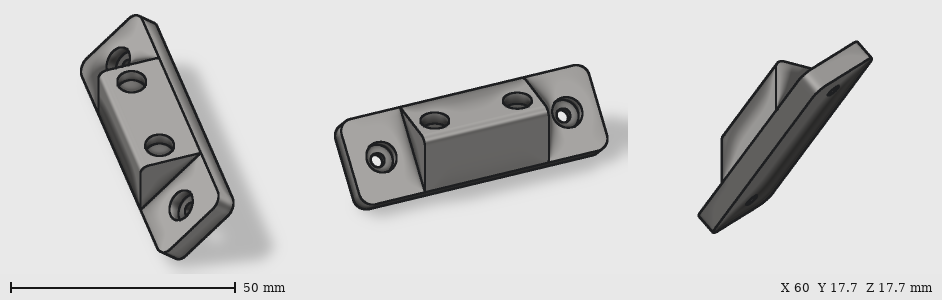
import cadquery as cq
import math

plate_length = 60.0
plate_width = plate_length / 3
plate_thickness = plate_width / 4
corner_radius = 3.0

block_length = plate_length / 2
block_leg = plate_width / math.sqrt(2)
ridge_radius = 2.0

screw_diameter = 3.2
counterbore_diameter = 7.0
counterbore_depth = 3.0
screw_offset = (plate_length + block_length) / 4

pocket_diameter = 6.4
pocket_depth = 3.0
pocket_offset = plate_length / 6
pocket_setback = 6.1

half_section = (plate_width + plate_thickness) / math.sqrt(2) / 2
front_y = -half_section
top_z = half_section

plate_face = cq.Plane(
    origin=(0, front_y + block_leg / 2, top_z - block_leg / 2),
    xDir=(1, 0, 0),
    normal=(0, -1, 1),
)


def make_plate():
    plate = cq.Workplane(plate_face).rect(plate_length, plate_width).extrude(-plate_thickness)
    corner_edges = cq.selectors.ParallelDirSelector(plate_face.zDir)
    return plate.edges(corner_edges).fillet(corner_radius)


def make_block():
    block = (
        cq.Workplane("YZ")
        .moveTo(front_y, top_z)
        .lineTo(front_y + block_leg, top_z)
        .lineTo(front_y, top_z - block_leg)
        .close()
        .extrude(block_length / 2, both=True)
    )
    return block.faces(">Z").edges("<Y").fillet(ridge_radius)


def cut_screw_holes(body):
    return (
        body.copyWorkplane(cq.Workplane(plate_face))
        .pushPoints([(-screw_offset, 0), (screw_offset, 0)])
        .cboreHole(screw_diameter, counterbore_diameter, counterbore_depth, plate_thickness)
    )


def cut_pockets(body):
    pocket_y = front_y + pocket_setback
    return (
        body.copyWorkplane(cq.Workplane("XY", origin=(0, 0, top_z)))
        .pushPoints([(-pocket_offset, pocket_y), (pocket_offset, pocket_y)])
        .hole(pocket_diameter, pocket_depth)
    )


result = make_plate().union(make_block())
result = cut_screw_holes(result)
result = cut_pockets(result)